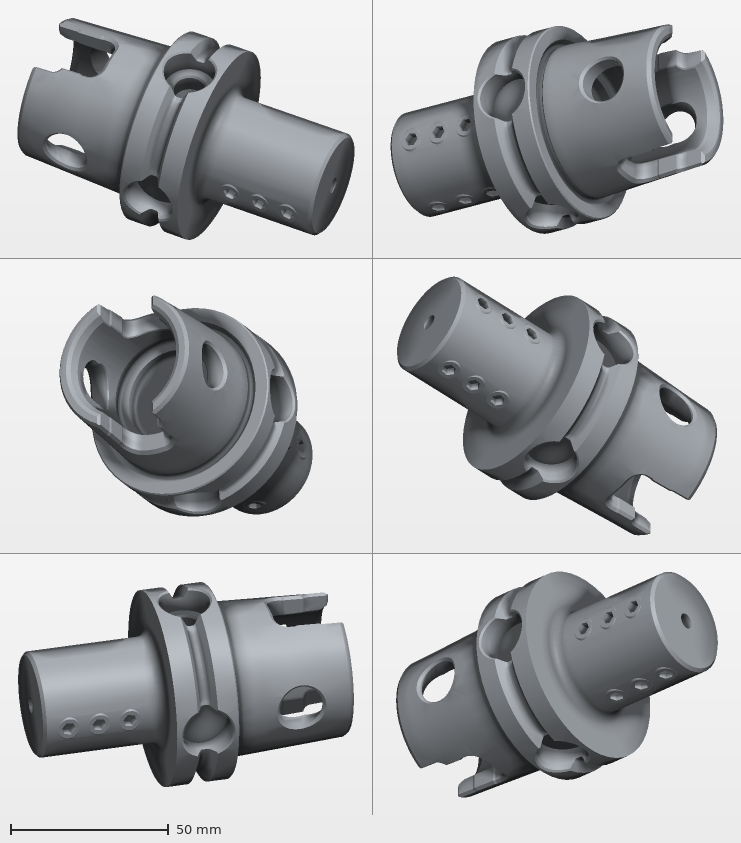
import cadquery as cq
import math


TOTAL_LENGTH = 99.95
FLANGE_START = 39.7
FLANGE_END = 60.1
FLANGE_MIDDLE = 49.8
TAPER_END = 38.5

TAPER_SLOPE = 0.05
TAPER_MOUTH_RADIUS = 23.0
MOUTH_CHAMFER_LENGTH = 1.3
MOUTH_CHAMFER_DEPTH = 0.8
NECK_RADIUS = 24.5
NECK_LEAD_LENGTH = 0.5
FLANGE_RADIUS = 31.5
FLANGE_CHAMFER = 0.4
RELIEF_OUTER_RADIUS = 27.0
RELIEF_DEPTH = 1.3
RELIEF_FILLET = 0.9
SHANK_RADIUS = 17.0
SHANK_FILLET = 3.0
SHANK_CHAMFER = 1.0

GROOVE_HALF_WIDTH = 3.3
GROOVE_FLOOR_RADIUS = 27.9
GROOVE_WALL_ANGLE = 30.0
GROOVE_FILLET = 1.0

BORE_RADIUS = 17.6
MOUTH_RADIUS = 20.1
LEAD_RADIUS = 18.8
LEAD_START = 0.7
LEAD_END = 3.2
UNDERCUT_START = 29.6
UNDERCUT_RADIUS = 18.9
SHOULDER = 34.9
UNDERCUT_FILLET = 1.2
INNER_BORE_RADIUS = 15.6
INNER_BORE_FLOOR = 39.0
INNER_BORE_FILLET = 1.2
COOLANT_RADIUS = 2.6

SLOT_HALF_WIDTH = 8.2
LAND_HALF_WIDTH = 7.9
LAND_START = 7.7
LAND_END = 15.2
LAND_RAMP = 0.8
SLOT_END = 21.6
SLOT_CORNER = 4.2
SLOT_LEAD = 0.9
WIDE_SIDE_Y = 9.9
WIDE_SIDE_LENGTH = 6.0
WIDE_SIDE_CORNER = 3.0

BALL_HOLE_X = 17.4
BALL_HOLE_RADIUS = 7.2
BRANCH_RADIUS = 7.1
BRANCH_OPENING = 22.0
BRANCH_TILT = 36.0
BRANCH_LENGTH = 9.0

SLOT_RIM_CHAMFER = 1.1
HOLE_RIM_CHAMFER = 0.9
INNER_RIM_CHAMFER = 0.3
RIM_DIVIDING_HEIGHT = 11.0

POCKET_COUNT = 4
POCKET_RADIUS = 8.2
POCKET_FLOOR = 22.5
POCKET_CHAMFER = 0.6
DRILL_RADIUS = 5.0
DRILL_DEPTH = 6.0
DRILL_CHAMFER = 0.6
DRILL_POINT_ANGLE = 118.0

SCREW_ROWS = (90, 180, 270)
SCREW_PITCH = 10.0
SCREW_FIRST_X = 71.8
SCREWS_PER_ROW = 3
SCREW_RADIUS = 4.0
SCREW_CHAMFER = 0.5
SCREW_LENGTH = 8.0
HEX_ACROSS_CORNERS = 4.6
HEX_TURN = -10.0
HEX_DEPTH = 3.0

OUTER_SKIN_POINT = (30.0, 18.0, 18.0)
BORE_SKIN_POINT = (27.0, 12.5, 12.5)
X_AXIS = ((0, 0, 0), (1, 0, 0))


def taper_radius(x):
    return TAPER_MOUTH_RADIUS + TAPER_SLOPE * x


def tan_deg(angle):
    return math.tan(math.radians(angle))


def outer_body():
    """Solid of revolution: taper, neck, flange and shank."""
    relief_floor = FLANGE_START + RELIEF_DEPTH
    profile = (
        cq.Workplane("XY")
        .moveTo(0, 0)
        .lineTo(0, taper_radius(0) - MOUTH_CHAMFER_DEPTH)
        .lineTo(MOUTH_CHAMFER_LENGTH, taper_radius(MOUTH_CHAMFER_LENGTH))
        .lineTo(TAPER_END, taper_radius(TAPER_END))
        .lineTo(TAPER_END + NECK_LEAD_LENGTH, NECK_RADIUS)
        .lineTo(relief_floor - RELIEF_FILLET, NECK_RADIUS)
        .radiusArc((relief_floor, NECK_RADIUS + RELIEF_FILLET), -RELIEF_FILLET)
        .lineTo(relief_floor, RELIEF_OUTER_RADIUS - RELIEF_DEPTH)
        .lineTo(FLANGE_START, RELIEF_OUTER_RADIUS)
        .lineTo(FLANGE_START, FLANGE_RADIUS - FLANGE_CHAMFER)
        .lineTo(FLANGE_START + FLANGE_CHAMFER, FLANGE_RADIUS)
        .lineTo(FLANGE_END, FLANGE_RADIUS)
        .lineTo(FLANGE_END, SHANK_RADIUS + SHANK_FILLET)
        .radiusArc((FLANGE_END + SHANK_FILLET, SHANK_RADIUS), -SHANK_FILLET)
        .lineTo(TOTAL_LENGTH - SHANK_CHAMFER, SHANK_RADIUS)
        .lineTo(TOTAL_LENGTH, SHANK_RADIUS - SHANK_CHAMFER)
        .lineTo(TOTAL_LENGTH, 0)
        .close()
    )
    return profile.revolve(360, *X_AXIS)


def flange_groove():
    """V groove with a rounded floor."""
    depth = FLANGE_RADIUS - GROOVE_FLOOR_RADIUS
    floor_half_width = GROOVE_HALF_WIDTH - depth * tan_deg(GROOVE_WALL_ANGLE)
    groove = (
        cq.Workplane("XY")
        .polyline([
            (FLANGE_MIDDLE - floor_half_width, GROOVE_FLOOR_RADIUS),
            (FLANGE_MIDDLE - GROOVE_HALF_WIDTH, FLANGE_RADIUS),
            (FLANGE_MIDDLE + GROOVE_HALF_WIDTH, FLANGE_RADIUS),
            (FLANGE_MIDDLE + floor_half_width, GROOVE_FLOOR_RADIUS),
        ])
        .close()
        .revolve(360, *X_AXIS)
    )
    floor_edges = cq.selectors.RadiusNthSelector(0)
    return groove.edges("%CIRCLE").edges(floor_edges).fillet(GROOVE_FILLET)


def stepped_bore():
    """Hollow of the taper, with lead-in chamfers, undercut and coolant hole."""
    profile = (
        cq.Workplane("XY")
        .moveTo(0, 0)
        .lineTo(0, MOUTH_RADIUS)
        .lineTo(LEAD_START, LEAD_RADIUS)
        .lineTo(LEAD_END, BORE_RADIUS)
        .lineTo(UNDERCUT_START, BORE_RADIUS)
        .lineTo(SHOULDER - UNDERCUT_FILLET, UNDERCUT_RADIUS)
        .radiusArc((SHOULDER, UNDERCUT_RADIUS - UNDERCUT_FILLET), UNDERCUT_FILLET)
        .lineTo(SHOULDER, INNER_BORE_RADIUS)
        .lineTo(INNER_BORE_FLOOR - INNER_BORE_FILLET, INNER_BORE_RADIUS)
        .radiusArc((INNER_BORE_FLOOR, INNER_BORE_RADIUS - INNER_BORE_FILLET), INNER_BORE_FILLET)
        .lineTo(INNER_BORE_FLOOR, COOLANT_RADIUS)
        .lineTo(TOTAL_LENGTH, COOLANT_RADIUS)
        .lineTo(TOTAL_LENGTH, 0)
        .close()
    )
    return profile.revolve(360, *X_AXIS)


def drive_slots():
    """Both slots as one prism along Z, wider at the mouth on the -Y side."""
    corner_inset = SLOT_CORNER * (1 - math.sqrt(0.5))
    step = WIDE_SIDE_Y - LAND_HALF_WIDTH
    step_end = WIDE_SIDE_LENGTH + math.sqrt(WIDE_SIDE_CORNER**2 - (WIDE_SIDE_CORNER - step) ** 2)
    outline = (
        cq.Workplane("XY")
        .moveTo(0, SLOT_HALF_WIDTH + SLOT_LEAD)
        .lineTo(SLOT_LEAD, SLOT_HALF_WIDTH)
        .lineTo(LAND_START - LAND_RAMP, SLOT_HALF_WIDTH)
        .lineTo(LAND_START, LAND_HALF_WIDTH)
        .lineTo(LAND_END, LAND_HALF_WIDTH)
        .lineTo(LAND_END + LAND_RAMP, SLOT_HALF_WIDTH)
        .lineTo(SLOT_END - SLOT_CORNER, SLOT_HALF_WIDTH)
        .threePointArc(
            (SLOT_END - corner_inset, SLOT_HALF_WIDTH - corner_inset),
            (SLOT_END, SLOT_HALF_WIDTH - SLOT_CORNER),
        )
        .lineTo(SLOT_END, SLOT_CORNER - SLOT_HALF_WIDTH)
        .threePointArc(
            (SLOT_END - corner_inset, corner_inset - SLOT_HALF_WIDTH),
            (SLOT_END - SLOT_CORNER, -SLOT_HALF_WIDTH),
        )
        .lineTo(LAND_END + LAND_RAMP, -SLOT_HALF_WIDTH)
        .lineTo(LAND_END, -LAND_HALF_WIDTH)
        .lineTo(step_end, -LAND_HALF_WIDTH)
        .radiusArc((WIDE_SIDE_LENGTH, -WIDE_SIDE_Y), WIDE_SIDE_CORNER)
        .lineTo(SLOT_LEAD, -WIDE_SIDE_Y)
        .lineTo(0, -WIDE_SIDE_Y - SLOT_LEAD)
        .close()
    )
    return outline.extrude(FLANGE_RADIUS, both=True)


def ball_holes():
    """Both ball holes as one straight cross hole along Y."""
    return (
        cq.Workplane("XZ")
        .center(BALL_HOLE_X, 0)
        .circle(BALL_HOLE_RADIUS)
        .extrude(FLANGE_RADIUS, both=True)
    )


def ball_hole_branch():
    """Branch of the +Y ball hole that leans towards the mouth on its way inwards."""
    opening = cq.Wire.makeCircle(
        BRANCH_RADIUS, cq.Vector(BALL_HOLE_X, BRANCH_OPENING, 0), cq.Vector(0, -1, 0)
    )
    lean = cq.Vector(-tan_deg(BRANCH_TILT), -1, 0) * BRANCH_LENGTH
    return cq.Workplane(cq.Solid.extrudeLinear(opening, [], lean))


def face_at(body, point):
    """The face that passes through, or closest to, a point."""
    return min(body.faces().vals(), key=lambda face: face.distance(cq.Vertex.makeVertex(*point)))


def is_on_slot(edge):
    """True for the rims of the slot at +Z."""
    return edge.positionAt(0.5).z > RIM_DIVIDING_HEIGHT


def is_on_hole(edge):
    """True for the rims of the ball holes, which are the curved ones near z = 0."""
    return abs(edge.positionAt(0.5).z) < RIM_DIVIDING_HEIGHT and edge.geomType() != "LINE"


def opening_edges(body, skin_point):
    """Edges of slots and ball holes on one skin of the taper wall."""
    last_x = BALL_HOLE_X + BALL_HOLE_RADIUS + 1
    skin = face_at(body, skin_point)
    return [edge for edge in skin.Edges() if LEAD_END < edge.positionAt(0.5).x < last_x]


def chamfer_openings(body, belongs, outer_chamfer, inner_chamfer):
    """Break the chosen rims on the outside and the inside of the taper wall."""
    for skin_point, size in (
        (OUTER_SKIN_POINT, outer_chamfer),
        (BORE_SKIN_POINT, inner_chamfer),
    ):
        rims = [edge for edge in opening_edges(body, skin_point) if belongs(edge)]
        body = body.newObject(rims).chamfer(size)
    return body


def mirror_upper_half(body):
    """Replace everything below z = 0 with a mirror image of what is above."""
    upper_space = cq.Workplane("XY").box(
        3 * TOTAL_LENGTH, TOTAL_LENGTH, TOTAL_LENGTH, centered=(True, True, False)
    )
    upper_half = body.intersect(upper_space)
    return upper_half.union(upper_half.mirror("XY"))


def hollow_taper():
    """Revolved body with its bore, drive slots and ball holes."""
    body = outer_body().cut(stepped_bore()).cut(drive_slots())
    body = chamfer_openings(body, is_on_slot, SLOT_RIM_CHAMFER, INNER_RIM_CHAMFER)
    body = mirror_upper_half(body).cut(ball_holes())
    body = chamfer_openings(body, is_on_hole, HOLE_RIM_CHAMFER, INNER_RIM_CHAMFER)
    branch = ball_hole_branch()
    return body.cut(branch).cut(branch.mirror("XZ"))


def flange_pocket():
    """Round pocket at +Z, cut radially into the flange."""
    return (
        cq.Workplane("XY", origin=(FLANGE_MIDDLE, 0, POCKET_FLOOR))
        .circle(POCKET_RADIUS)
        .extrude(FLANGE_RADIUS - POCKET_FLOOR)
    )


def chamfer_pocket_rims(body):
    """Break the rims of the pockets on the still ungrooved flange."""
    skin = face_at(body, (FLANGE_MIDDLE, FLANGE_RADIUS, FLANGE_RADIUS))
    rims = [
        edge for edge in skin.Edges()
        if abs(edge.positionAt(0.5).x - FLANGE_MIDDLE) <= POCKET_RADIUS + 0.1
    ]
    return body.newObject(rims).chamfer(POCKET_CHAMFER)


def pocket_drilling():
    """Chamfered blind drilling in the floor of the +Z pocket."""
    tip = POCKET_FLOOR - DRILL_DEPTH - DRILL_RADIUS / tan_deg(DRILL_POINT_ANGLE / 2)
    return (
        cq.Workplane("XZ", origin=(FLANGE_MIDDLE, 0, 0))
        .polyline([
            (0, POCKET_FLOOR),
            (DRILL_RADIUS + DRILL_CHAMFER, POCKET_FLOOR),
            (DRILL_RADIUS, POCKET_FLOOR - DRILL_CHAMFER),
            (DRILL_RADIUS, POCKET_FLOOR - DRILL_DEPTH),
            (0, tip),
        ])
        .close()
        .revolve(360, (0, 0, 0), (0, 1, 0))
    )


def screw_blank():
    """Screw outline without its socket, at +Z with its top flush with the shank."""
    return (
        cq.Workplane("XY", origin=(0, 0, SHANK_RADIUS - SCREW_LENGTH))
        .circle(SCREW_RADIUS)
        .extrude(SCREW_LENGTH)
        .faces(">Z")
        .chamfer(SCREW_CHAMFER)
    )


def set_screw():
    """Set screw with a hexagon socket."""
    socket = (
        cq.Workplane("XY", origin=(0, 0, SHANK_RADIUS - HEX_DEPTH))
        .transformed(rotate=(0, 0, HEX_TURN))
        .polygon(6, HEX_ACROSS_CORNERS)
        .extrude(HEX_DEPTH)
    )
    return screw_blank().cut(socket)


def at_screw_places(shape):
    """Copies of a shape at every screw place, in rows around the shank."""
    return [
        shape.rotate(*X_AXIS, angle).translate((SCREW_FIRST_X + i * SCREW_PITCH, 0, 0))
        for angle in SCREW_ROWS
        for i in range(SCREWS_PER_ROW)
    ]


def build_housing():
    """Holder body with a matching recess for every screw."""
    body = hollow_taper()
    for i in range(POCKET_COUNT):
        body = body.cut(flange_pocket().rotate(*X_AXIS, i * 360 / POCKET_COUNT))
    body = chamfer_pocket_rims(body)
    body = body.cut(flange_groove()).cut(pocket_drilling())
    for blank in at_screw_places(screw_blank()):
        body = body.cut(blank)
    return body


housing = build_housing()
screws = at_screw_places(set_screw())
result = cq.Compound.makeCompound([housing.val(), *[screw.val() for screw in screws]])